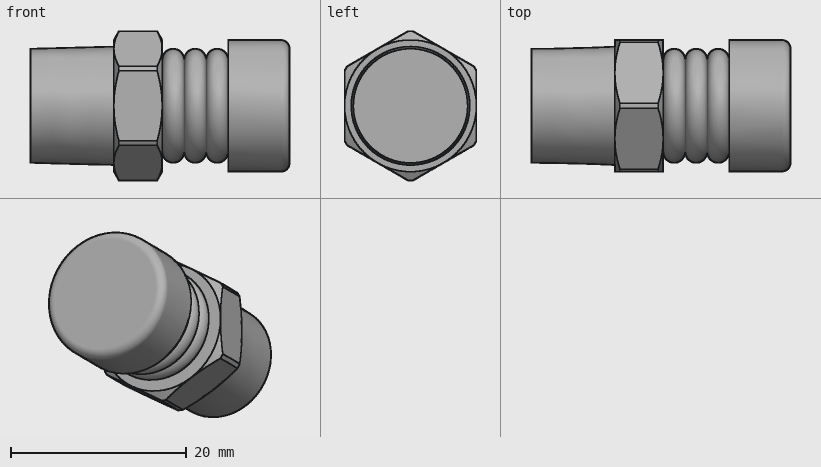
import cadquery as cq
import math

spigot_length = 9.5
hex_length = 5.5
ring_count = 3
ring_pitch = 2.5
collar_length = 7.0

spigot_tip_radius = 6.5
spigot_root_radius = 6.75

hex_sides = 6
hex_across_flats = 15.0
hex_corner_radius = 8.5
hex_chamfer_angle = 30.0

ring_outer_radius = 6.5

collar_radius = 7.5
collar_fillet = 1.0

hex_start = spigot_length
hex_end = hex_start + hex_length
collar_start = hex_end + ring_count * ring_pitch
ring_section_radius = ring_pitch / 2
ring_centre_radius = ring_outer_radius - ring_section_radius


def turn(profile):
    """Revolve a closed XZ half-section about the X axis."""
    return profile.close().revolve(360, (0, 0, 0), (1, 0, 0))


def make_spigot():
    return turn(
        cq.Workplane("XZ")
        .lineTo(0, spigot_tip_radius)
        .lineTo(spigot_length, spigot_root_radius)
        .lineTo(spigot_length, 0)
    )


def make_hexagon():
    flat_radius = hex_across_flats / 2
    across_corners = hex_across_flats / math.cos(math.pi / hex_sides)
    prism = (
        cq.Workplane("YZ")
        .workplane(offset=hex_start)
        .transformed(rotate=(0, 0, 90))
        .polygon(hex_sides, across_corners)
        .extrude(hex_length)
    )
    chamfer_length = (hex_corner_radius - flat_radius) * math.tan(math.radians(hex_chamfer_angle))
    envelope = turn(
        cq.Workplane("XZ")
        .moveTo(hex_start, 0)
        .lineTo(hex_start, flat_radius)
        .lineTo(hex_start + chamfer_length, hex_corner_radius)
        .lineTo(hex_end - chamfer_length, hex_corner_radius)
        .lineTo(hex_end, flat_radius)
        .lineTo(hex_end, 0)
    )
    return prism.intersect(envelope)


def make_ringed_neck():
    """Row of touching round rings, as one half-section of joined semicircles."""
    profile = cq.Workplane("XZ").moveTo(hex_end, 0).lineTo(hex_end, ring_centre_radius)
    for index in range(ring_count):
        ring_start = hex_end + index * ring_pitch
        profile = profile.threePointArc(
            (ring_start + ring_section_radius, ring_outer_radius),
            (ring_start + ring_pitch, ring_centre_radius),
        )
    return turn(profile.lineTo(collar_start, 0))


def make_collar():
    return (
        cq.Workplane("YZ")
        .workplane(offset=collar_start)
        .circle(collar_radius)
        .extrude(collar_length)
        .faces(">X")
        .edges()
        .fillet(collar_fillet)
    )


result = make_spigot().union(make_hexagon()).union(make_ringed_neck()).union(make_collar())